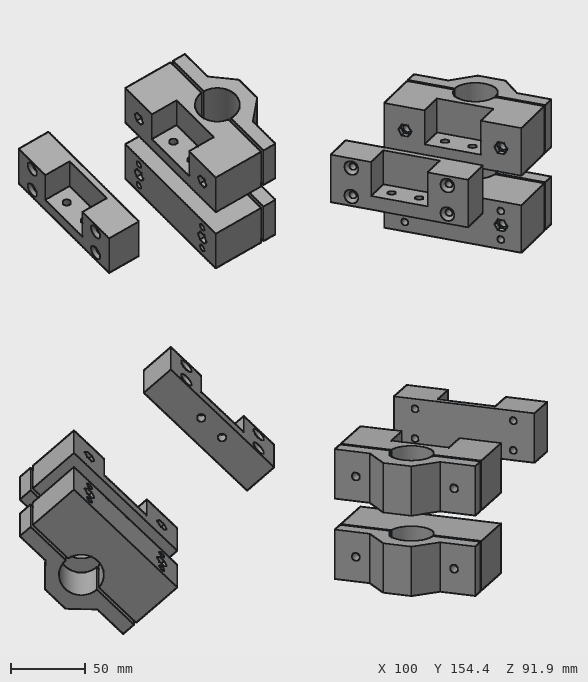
import cadquery as cq
import math

TOTAL_DEPTH = 154.4
TOTAL_HEIGHT = 91.9
WIDTH = 100.0
BLOCK_HEIGHT = 35.0

BORE_DIAMETER = 30.0
BORE_X = -1.0

CAP_BAR_DEPTH = 10.0
CAP_DEPTH = 25.0
HUMP_BASE_WIDTH = 50.0
HUMP_TOP_WIDTH = 20.0

CLAMP_GAP = 2.0
BASE_DEPTH = 38.0
PLATE_DEPTH = 25.0

POCKET_WIDTH = 41.0
POCKET_HEIGHT = 25.0
BASE_POCKET_DEPTH = 20.7
PLATE_POCKET_DEPTH = 20.4

FLOOR_HOLE_DIAMETER = 5.5
FLOOR_HOLE_SPACING = 20.0
FLOOR_HOLE_SETBACK = 10.0

BOLT_HOLE_DIAMETER = 5.5
SIDE_HOLE_SPACING = 70.0
NUT_ACROSS_FLATS = 8.0
NUT_POCKET_DEPTH = 4.0

SCREW_DIAMETER = 5.0
SCREW_SPACING_Z = 21.0
SCREW_HEAD_DIAMETER = 10.0
COUNTERSINK_ANGLE = 90.0
PILOT_HOLE_DEPTH = 20.0

UPPER_Z = TOTAL_HEIGHT - BLOCK_HEIGHT
CAP_Y = TOTAL_DEPTH - CAP_DEPTH
BASE_Y = CAP_Y - CLAMP_GAP - BASE_DEPTH
MID_HEIGHT = BLOCK_HEIGHT / 2
HOLE_XS = (-SIDE_HOLE_SPACING / 2, SIDE_HOLE_SPACING / 2)
BOLT_POINTS = [(x, MID_HEIGHT) for x in HOLE_XS]
SCREW_POINTS = [
    (x, MID_HEIGHT + side * SCREW_SPACING_Z / 2)
    for x in HOLE_XS
    for side in (-1, 1)
]


def centred_box(width, depth, height, front_y, bottom_z=0):
    """Box centred in X, from front_y backwards and from bottom_z upwards."""
    box = cq.Workplane("XY").box(width, depth, height, centered=(True, False, False))
    return box.translate((0, front_y, bottom_z))


def front_workplane(front_y):
    """Plane on a front face: local axes are X and Z, and extruding by a negative length goes into +Y."""
    return cq.Workplane("XZ", origin=(0, front_y, 0))


def front_holes(points, diameter, front_y, depth):
    """Round cutters running from front_y backwards."""
    return front_workplane(front_y).pushPoints(points).circle(diameter / 2).extrude(-depth)


def bore():
    """Cutter for the tube bore."""
    return (
        cq.Workplane("XY")
        .center(BORE_X, CAP_Y)
        .circle(BORE_DIAMETER / 2)
        .extrude(BLOCK_HEIGHT)
    )


def nut_pockets():
    """Hexagonal cutters in the front of the clamp base, with corners pointing along X."""
    across_corners = NUT_ACROSS_FLATS / math.cos(math.pi / 6)
    return (
        front_workplane(BASE_Y)
        .pushPoints(BOLT_POINTS)
        .polygon(6, across_corners)
        .extrude(-NUT_POCKET_DEPTH)
    )


def pocket(front_y, depth):
    """Cutter for the open pocket and the two holes through its floor."""
    floor_z = BLOCK_HEIGHT - POCKET_HEIGHT
    recess = centred_box(POCKET_WIDTH, depth, POCKET_HEIGHT, front_y, floor_z)
    floor_holes = (
        cq.Workplane("XY")
        .center(0, front_y + FLOOR_HOLE_SETBACK)
        .rarray(FLOOR_HOLE_SPACING, 1.5, 2, 1)
        .circle(FLOOR_HOLE_DIAMETER / 2)
        .extrude(floor_z)
    )
    return recess.union(floor_holes)


def countersink(x, z):
    """Conical cutter for one screw head in the front of the plate."""
    head_radius = SCREW_HEAD_DIAMETER / 2
    cone_height = head_radius / math.tan(math.radians(COUNTERSINK_ANGLE / 2))
    cone = cq.Solid.makeCone(head_radius, 0, cone_height, pnt=cq.Vector(x, 0, z), dir=cq.Vector(0, 1, 0))
    return cq.Workplane(cone)


def make_cap():
    """Rear half of a clamp."""
    bar_back_y = CAP_Y + CAP_BAR_DEPTH
    cap = (
        cq.Workplane("XY")
        .moveTo(-WIDTH / 2, CAP_Y)
        .lineTo(WIDTH / 2, CAP_Y)
        .lineTo(WIDTH / 2, bar_back_y)
        .lineTo(HUMP_BASE_WIDTH / 2, bar_back_y)
        .lineTo(HUMP_TOP_WIDTH / 2, TOTAL_DEPTH)
        .lineTo(-HUMP_TOP_WIDTH / 2, TOTAL_DEPTH)
        .lineTo(-HUMP_BASE_WIDTH / 2, bar_back_y)
        .lineTo(-WIDTH / 2, bar_back_y)
        .close()
        .extrude(BLOCK_HEIGHT)
    )
    return cap.cut(bore()).cut(front_holes(BOLT_POINTS, BOLT_HOLE_DIAMETER, CAP_Y, CAP_BAR_DEPTH))


def make_base():
    """Front half of a clamp, with the features both clamps share."""
    base = centred_box(WIDTH, BASE_DEPTH, BLOCK_HEIGHT, BASE_Y).cut(bore())
    bolt_holes = front_holes(BOLT_POINTS, BOLT_HOLE_DIAMETER, BASE_Y, BASE_DEPTH)
    return base.cut(bolt_holes).cut(nut_pockets())


def make_lower_base():
    """Clamp base with blind pilot holes for the plate screws."""
    return make_base().cut(front_holes(SCREW_POINTS, SCREW_DIAMETER, BASE_Y, PILOT_HOLE_DEPTH))


def make_upper_base():
    """Clamp base with the open pocket."""
    return make_base().cut(pocket(BASE_Y, BASE_POCKET_DEPTH)).translate((0, 0, UPPER_Z))


def make_front_plate():
    """Pocketed block with four countersunk screw holes."""
    plate = centred_box(WIDTH, PLATE_DEPTH, BLOCK_HEIGHT, 0).cut(pocket(0, PLATE_POCKET_DEPTH))
    plate = plate.cut(front_holes(SCREW_POINTS, SCREW_DIAMETER, 0, PLATE_DEPTH))
    for x, z in SCREW_POINTS:
        plate = plate.cut(countersink(x, z))
    return plate.translate((0, 0, UPPER_Z))


caps = [make_cap().translate((0, 0, z)) for z in (0, UPPER_Z)]
lower_base = make_lower_base()
upper_base = make_upper_base()
front_plate = make_front_plate()

result = cq.Compound.makeCompound(
    [cap.val() for cap in caps] + [lower_base.val(), upper_base.val(), front_plate.val()]
)